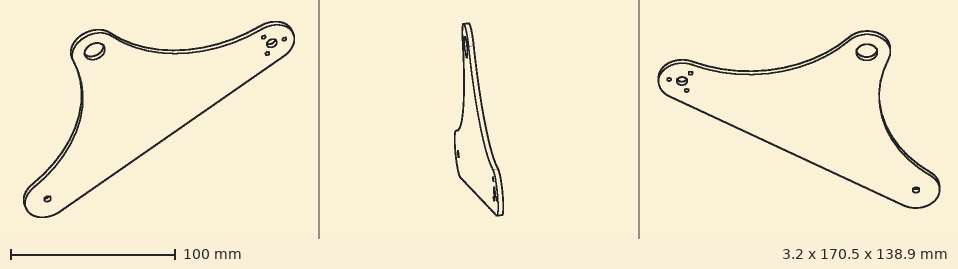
import cadquery as cq
import math

thickness = 3.2
length = 170.5
height = 138.9
lobe_radius = 14.3
rear_center = (length / 2 - lobe_radius, 34.0)
top_center = (-41.0, height / 2 - lobe_radius)
front_center = (-length / 2 + lobe_radius, -height / 2 + lobe_radius)
scallop_radius = 80.5

top_hole_diameter = 12.8
rear_hole_diameter = 6.3
front_hole_diameter = 4.1
screw_hole_diameter = 2.4
screw_circle_radius = 8.0
first_screw_angle = 10
screw_count = 3


def offset_point(origin, direction, distance):
    return tuple(o + d * distance for o, d in zip(origin, direction))


def unit_vector(start, end):
    length = math.dist(start, end)
    return tuple((e - s) / length for s, e in zip(start, end))


def left_normal(start, end):
    """Unit normal on the left-hand side when going from start to end."""
    along = unit_vector(start, end)
    return (-along[1], along[0])


def scallop(start_lobe, end_lobe):
    """Start, middle and end points of a concave arc tangent to two lobes."""
    half_span = math.dist(start_lobe, end_lobe) / 2
    outward = left_normal(start_lobe, end_lobe)
    midpoint = tuple((s + e) / 2 for s, e in zip(start_lobe, end_lobe))
    center_distance = math.sqrt((scallop_radius + lobe_radius) ** 2 - half_span**2)
    center = offset_point(midpoint, outward, center_distance)
    start = offset_point(start_lobe, unit_vector(start_lobe, center), lobe_radius)
    middle = offset_point(center, outward, -scallop_radius)
    end = offset_point(end_lobe, unit_vector(end_lobe, center), lobe_radius)
    return start, middle, end


def lobe_tip(center, before, after):
    """Outermost point of a lobe, between its two neighbouring edge points."""
    chord_normal = left_normal(before, after)
    return offset_point(center, chord_normal, lobe_radius)


def plate():
    lower_normal = left_normal(rear_center, front_center)
    rear_tangent = offset_point(rear_center, lower_normal, lobe_radius)
    front_tangent = offset_point(front_center, lower_normal, lobe_radius)
    front_start, front_middle, front_end = scallop(front_center, top_center)
    upper_start, upper_middle, upper_end = scallop(top_center, rear_center)
    return (
        cq.Workplane("YZ", origin=(-thickness / 2, 0, 0))
        .moveTo(*front_tangent)
        .threePointArc(lobe_tip(front_center, front_tangent, front_start), front_start)
        .threePointArc(front_middle, front_end)
        .threePointArc(lobe_tip(top_center, front_end, upper_start), upper_start)
        .threePointArc(upper_middle, upper_end)
        .threePointArc(lobe_tip(rear_center, upper_end, rear_tangent), rear_tangent)
        .close()
        .extrude(thickness)
    )


def hole(center, diameter):
    return (
        cq.Workplane("YZ", origin=(-thickness / 2, 0, 0))
        .center(*center)
        .circle(diameter / 2)
        .extrude(thickness)
    )


result = plate()
result = result.cut(hole(top_center, top_hole_diameter))
result = result.cut(hole(rear_center, rear_hole_diameter))
result = result.cut(hole(front_center, front_hole_diameter))

for index in range(screw_count):
    angle = math.radians(first_screw_angle + index * 360 / screw_count)
    screw_center = offset_point(rear_center, (math.cos(angle), math.sin(angle)), screw_circle_radius)
    result = result.cut(hole(screw_center, screw_hole_diameter))